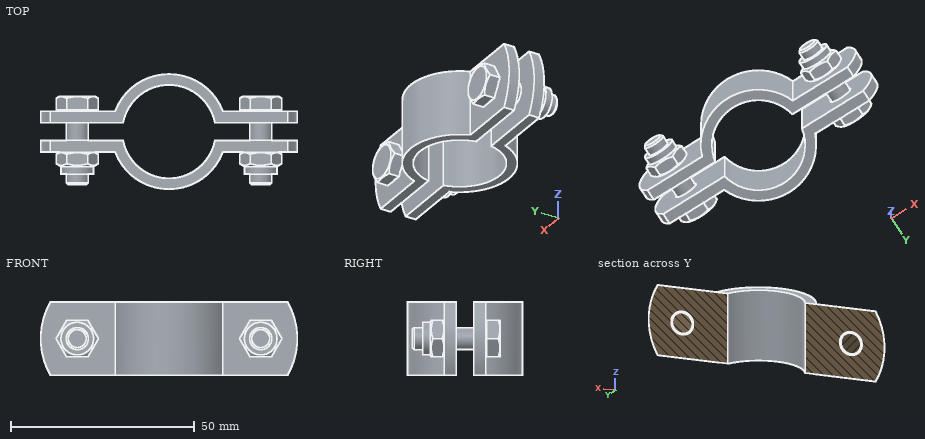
import cadquery as cq
import math

length = 70.0
width = 20.0
ring_outer_diameter = 31.4
ring_outer_radius = ring_outer_diameter / 2
strap_thickness = 3.0
ring_inner_radius = ring_outer_radius - strap_thickness
gap = 4.75
flange_thickness = 3.2
flange_inner_y = gap / 2
flange_outer_y = flange_inner_y + flange_thickness
end_radius = 20.0
bolt_hole_diameter = 6.5

bolt_spacing = 50.0
bolt_positions = (-bolt_spacing / 2, bolt_spacing / 2)
bolt_diameter = 6.0
bolt_tip_y = -14.4
bolt_tip_chamfer = 0.55
across_flats = 10.0
across_corners = across_flats / math.cos(math.pi / 6)
washer_face_diameter = 8.9
washer_face_height = 0.35
head_height = 3.7
nut_height = 3.9
collar_diameter = 8.9
collar_height = 2.0
hexagon_face_diameter = 9.6
bevel_slope = math.tan(math.radians(30))


def cylinder_along_y(diameter, start_y, end_y):
    """Solid cylinder on the Y axis between two Y positions."""
    return (
        cq.Workplane("XZ", origin=(0, end_y, 0))
        .circle(diameter / 2)
        .extrude(end_y - start_y)
    )


def beveled_hexagon(start_y, end_y, start_diameter, end_diameter):
    """Hexagonal prism on the Y axis, its corners cut by a cone at each end.

    The diameters are those of the round end faces; across_corners leaves an end square.
    """
    prism = (
        cq.Workplane("XZ", origin=(0, end_y, 0))
        .polygon(6, across_corners)
        .extrude(end_y - start_y)
    )
    corner_radius = across_corners / 2
    start_bevel = (corner_radius - start_diameter / 2) * bevel_slope
    end_bevel = (corner_radius - end_diameter / 2) * bevel_slope
    envelope = cq.Workplane("XY").moveTo(0, start_y).lineTo(start_diameter / 2, start_y)
    if start_bevel > 0:
        envelope = envelope.lineTo(corner_radius, start_y + start_bevel)
    envelope = (
        envelope
        .lineTo(corner_radius, end_y - end_bevel)
        .lineTo(end_diameter / 2, end_y)
        .lineTo(0, end_y)
        .close()
        .revolve(360, (0, 0, 0), (0, 1, 0))
    )
    return prism.intersect(envelope)


def flange_outline():
    """Full-length prism with rounded ends, which bounds a clamp half."""
    half_length = length / 2
    half_width = width / 2
    end_sagitta = end_radius - math.sqrt(end_radius**2 - half_width**2)
    corner_x = half_length - end_sagitta
    return (
        cq.Workplane("XZ", origin=(0, flange_outer_y, 0))
        .moveTo(-corner_x, -half_width)
        .lineTo(corner_x, -half_width)
        .threePointArc((half_length, 0), (corner_x, half_width))
        .lineTo(-corner_x, half_width)
        .threePointArc((-half_length, 0), (-corner_x, -half_width))
        .close()
        .extrude(flange_thickness)
    )


def make_clamp_half(side):
    """Half ring with two flanges; side is +1 for +Y and -1 for -Y."""
    ring = cq.Workplane("XY").circle(ring_outer_radius).extrude(width / 2, both=True)
    bore = cq.Workplane("XY").circle(ring_inner_radius).extrude(width / 2, both=True)
    kept_side = cq.Workplane("XY").box(length, length, width).translate((0, flange_inner_y + length / 2, 0))
    half = ring.intersect(kept_side).union(flange_outline()).cut(bore)
    for x in bolt_positions:
        hole = cylinder_along_y(bolt_hole_diameter, flange_inner_y, flange_outer_y)
        half = half.cut(hole.translate((x, 0, 0)))
    if side < 0:
        half = half.mirror("XZ")
    return half


def make_bolt(x):
    """Hexagon bolt with a washer face under its head, pointing toward -Y."""
    head_start_y = flange_outer_y + washer_face_height
    head_end_y = head_start_y + head_height
    shank = cylinder_along_y(bolt_diameter, bolt_tip_y, head_start_y).faces("<Y").chamfer(bolt_tip_chamfer)
    washer_face = cylinder_along_y(washer_face_diameter, flange_outer_y, head_start_y)
    head = beveled_hexagon(head_start_y, head_end_y, across_corners, hexagon_face_diameter)
    return shank.union(washer_face).union(head).translate((x, 0, 0))


def make_nut(x):
    """Hexagon nut with a round locking collar on its -Y end."""
    seat_y = -flange_outer_y
    collar_start_y = seat_y - nut_height
    nut_end_y = collar_start_y - collar_height
    hexagon = beveled_hexagon(collar_start_y, seat_y, collar_diameter, hexagon_face_diameter)
    collar = cylinder_along_y(collar_diameter, nut_end_y, collar_start_y)
    bore = cylinder_along_y(bolt_diameter, nut_end_y, seat_y)
    return hexagon.union(collar).cut(bore).translate((x, 0, 0))


clamp_halves = [make_clamp_half(side) for side in (1, -1)]
bolts = [make_bolt(x) for x in bolt_positions]
nuts = [make_nut(x) for x in bolt_positions]

result = cq.Compound.makeCompound([body.val() for body in clamp_halves + bolts + nuts])